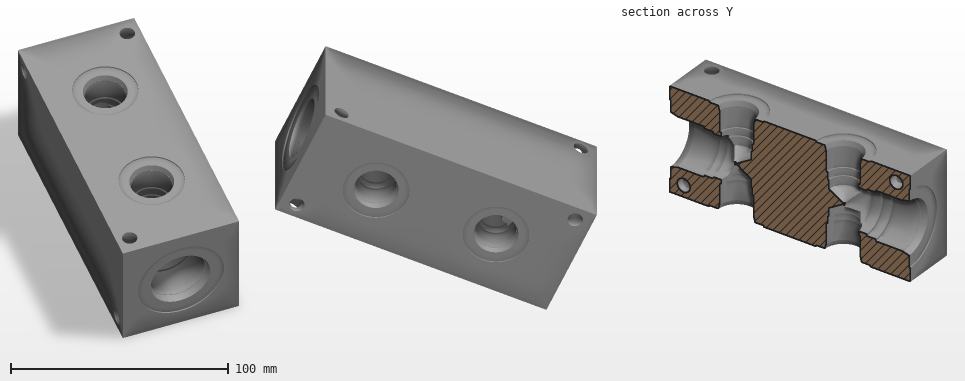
import cadquery as cq
import math

length = 136.5
width = 57.2
height = width

mount_diameter = 7.1
mount_end_inset = 8.0
mount_side_inset = 6.4

port_pitch = 60.3
spotface_depth = 0.7
drill_point_angle = 118.0

side_tip_gap = 0.4
end_tip_gap = 0.8

side_port = {
    "spotface_diameter": 30.6,
    "seat_diameter": 20.6,
    "seat_end_diameter": 19.3,
    "seat_depth": 3.3,
    "thread_major": 19.1,
    "thread_minor": 17.5,
    "thread_depth": 14.6,
    "minor_depth": 18.5,
    "drill_diameter": 16.0,
    "tip_depth": height / 2 - side_tip_gap,
}

end_port = {
    "spotface_diameter": 42.0,
    "seat_diameter": 29.2,
    "seat_end_diameter": 27.5,
    "seat_depth": 4.2,
    "thread_major": 27.0,
    "thread_minor": 25.0,
    "thread_depth": 19.7,
    "minor_depth": 24.6,
    "drill_diameter": 23.1,
    "tip_depth": (length - port_pitch) / 2 - end_tip_gap,
}


def port_cutter(port):
    """Stepped port with a drill point, opening at Z = 0 and running down -Z."""
    drill_radius = port["drill_diameter"] / 2
    point_height = drill_radius / math.tan(math.radians(drill_point_angle / 2))
    steps = [
        (port["spotface_diameter"], 0),
        (port["spotface_diameter"], spotface_depth),
        (port["seat_diameter"], spotface_depth),
        (port["seat_end_diameter"], port["seat_depth"]),
        (port["thread_major"], port["seat_depth"]),
        (port["thread_major"], port["thread_depth"]),
        (port["thread_minor"], port["thread_depth"]),
        (port["thread_minor"], port["minor_depth"]),
        (port["drill_diameter"], port["minor_depth"]),
        (port["drill_diameter"], port["tip_depth"] - point_height),
        (0, port["tip_depth"]),
    ]
    outline = [(0, 0)] + [(diameter / 2, -depth) for diameter, depth in steps]
    profile = cq.Workplane("XZ").polyline(outline).close()
    return profile.revolve(360, (0, 0, 0), (0, 1, 0))


def cut_side_ports(body):
    """Two ports in the top face, mirrored into the bottom face."""
    upper = port_cutter(side_port).translate((0, 0, height / 2))
    lower = upper.mirror("XY")
    for x in (-port_pitch / 2, port_pitch / 2):
        body = body.cut(upper.translate((x, 0, 0)))
        body = body.cut(lower.translate((x, 0, 0)))
    return body


def cut_end_ports(body):
    """One port in each end, reaching the side ports on that half."""
    right = port_cutter(end_port).rotate((0, 0, 0), (0, 1, 0), 90).translate((length / 2, 0, 0))
    return body.cut(right).cut(right.mirror("YZ"))


def cut_mounting_holes(body):
    """Through holes at two opposite corners, along Z and again along Y."""
    x = length / 2 - mount_end_inset
    offset = width / 2 - mount_side_inset
    corners = [(-x, offset), (x, -offset)]
    for plane in ("XY", "XZ"):
        holes = cq.Workplane(plane).pushPoints(corners).circle(mount_diameter / 2)
        body = body.cut(holes.extrude(width, both=True))
    return body


block = cq.Workplane("XY").box(length, width, height)
result = cut_mounting_holes(cut_end_ports(cut_side_ports(block)))